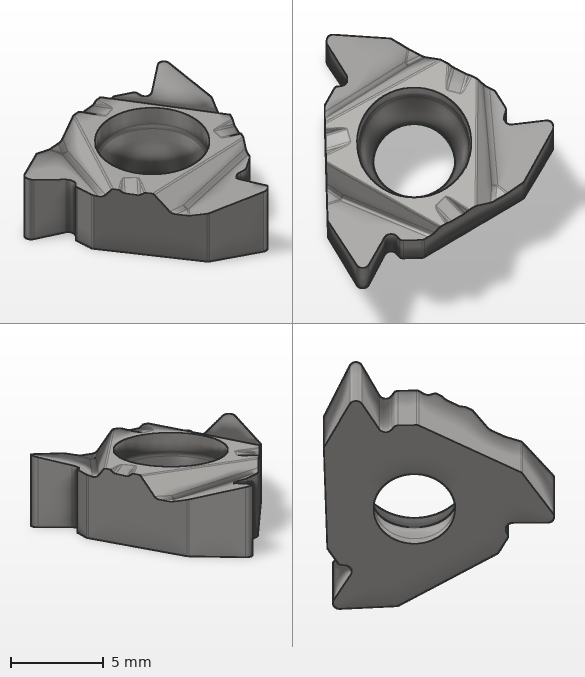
import cadquery as cq
import math

TOOTH_COUNT = 3
THICKNESS = 4.1
OVERSIZE = 13.12
TOUCHING = 0.001

INSCRIBED_RADIUS = 4.76
SIDE_TOP_Y = 2.36
SIDE_BOTTOM_Y = -4.0
TOOTH_AXIS_X = -2.95
FLANK_HALF_ANGLE = 28.5
TIP_RADIUS = 0.38
NOTCH_END_X = -0.87
NOTCH_WALL_ANGLE = 52.0
NOTCH_RADIUS = 0.41
CORNER_RADIUS = 0.26

GROOVE_ANGLE = -32.0
GROOVE_EDGE_Y = -0.98
WALL_ANGLE = 54.0
LAND_EDGE_RADIUS = 0.13
GROOVE_RADIUS = 0.31
FLOOR_Z = 2.91
FLOOR_SLOPE = 0.09
RAKE_START_Y = -2.97
RAKE_ANGLE = 15.5

POCKET_END = (-3.52, 0.51)
POCKET_HEADING = 193.3
POCKET_RAMP_ANGLE = 8.8
POCKET_FLOOR_WIDTH = 0.85
POCKET_WALL_ANGLE = 37.0
POCKET_RADIUS = 0.25
POCKET_RIM_RADIUS = 0.16
POCKET_RIM_MIDDLE = 0.79
POCKET_TOOL_HEIGHT = 0.65
POCKET_TOOL_LENGTH = 2.1

HOLE_RADIUS = 4.4 / 2
RIM_RADIUS = 3.08
RECESS_RADIUS = 3.0
RECESS_DEPTH = 1.01
SEAT_RADIUS = 2.93
SEAT_DEPTH = 1.26
SEAT_ARC_RADIUS = 4.03


def sin(degrees):
    return math.sin(math.radians(degrees))


def cos(degrees):
    return math.cos(math.radians(degrees))


def tan(degrees):
    return math.tan(math.radians(degrees))


def turned(point, turn):
    """Turn a plan point about the bore axis by whole tooth steps."""
    angle = turn * 360 / TOOTH_COUNT
    x, y = point
    return (x * cos(angle) - y * sin(angle), x * sin(angle) + y * cos(angle))


def outline_corners():
    """Sharp plan corners of one third of the outline, each with its radius."""
    flat_end = turned((-INSCRIBED_RADIUS, SIDE_TOP_Y), 1)
    tip_y = SIDE_BOTTOM_Y - (TOOTH_AXIS_X + INSCRIBED_RADIUS) / tan(FLANK_HALF_ANGLE)
    notch_end = (NOTCH_END_X, flat_end[1])
    flank_slope = 1 / tan(FLANK_HALF_ANGLE)
    wall_slope = -tan(NOTCH_WALL_ANGLE)
    notch_x = (notch_end[1] - tip_y + flank_slope * TOOTH_AXIS_X - wall_slope * NOTCH_END_X) / (
        flank_slope - wall_slope
    )
    notch_y = tip_y + flank_slope * (notch_x - TOOTH_AXIS_X)
    return [
        ((-INSCRIBED_RADIUS, SIDE_BOTTOM_Y), CORNER_RADIUS),
        ((TOOTH_AXIS_X, tip_y), TIP_RADIUS),
        ((notch_x, notch_y), NOTCH_RADIUS),
        (notch_end, CORNER_RADIUS),
        (flat_end, CORNER_RADIUS),
    ]


def make_blank():
    corners = []
    for turn in range(TOOTH_COUNT):
        for point, radius in outline_corners():
            corners.append((turned(point, turn), radius))
    blank = cq.Workplane("XY").polyline([point for point, _ in corners]).close().extrude(THICKNESS)
    for (x, y), radius in corners:
        corner_edge = cq.selectors.NearestToPointSelector((x, y, THICKNESS / 2))
        blank = blank.edges("|Z").edges(corner_edge).fillet(radius)
    return blank


def space_beyond_wall():
    """Space outside the groove wall, with the rounded land edge on its top."""
    edge_plane = cq.Plane(
        origin=(-INSCRIBED_RADIUS, GROOVE_EDGE_Y, THICKNESS),
        xDir=(sin(GROOVE_ANGLE), -cos(GROOVE_ANGLE), 0),
        normal=(-cos(GROOVE_ANGLE), -sin(GROOVE_ANGLE), 0),
    )
    tangent = LAND_EDGE_RADIUS * tan(WALL_ANGLE / 2)
    depth = OVERSIZE / 2
    return (
        cq.Workplane(edge_plane)
        .moveTo(-tangent, OVERSIZE)
        .lineTo(-tangent, 0)
        .radiusArc((tangent * cos(WALL_ANGLE), -tangent * sin(WALL_ANGLE)), LAND_EDGE_RADIUS)
        .lineTo(depth / tan(WALL_ANGLE), -depth)
        .lineTo(2 * OVERSIZE, -depth)
        .lineTo(2 * OVERSIZE, OVERSIZE)
        .close()
        .extrude(2 * OVERSIZE, both=True)
    )


def space_above_floor():
    """Space above the groove floor, which falls gently from the -X side inward."""
    fall = FLOOR_SLOPE * OVERSIZE
    return (
        cq.Workplane("XZ", origin=(-INSCRIBED_RADIUS, 0, FLOOR_Z))
        .polyline([(-OVERSIZE, fall), (OVERSIZE, -fall), (OVERSIZE, OVERSIZE), (-OVERSIZE, OVERSIZE)])
        .close()
        .extrude(OVERSIZE, both=True)
    )


def space_above_rake():
    """Space above the rake face, which climbs toward -Y."""
    rise = OVERSIZE * tan(RAKE_ANGLE)
    return (
        cq.Workplane("YZ", origin=(0, RAKE_START_Y, FLOOR_Z))
        .polyline([(-OVERSIZE, rise), (OVERSIZE, -rise), (OVERSIZE, OVERSIZE), (-OVERSIZE, OVERSIZE)])
        .close()
        .extrude(OVERSIZE, both=True)
    )


def groove_tool():
    tool = space_beyond_wall().intersect(space_above_floor()).intersect(space_above_rake())
    floor_end = (-INSCRIBED_RADIUS, RAKE_START_Y, FLOOR_Z)
    corner = tool.vertices(cq.selectors.NearestToPointSelector(floor_end)).val()
    valley_edges = [edge for edge in tool.edges().vals() if edge.distance(corner) < TOUCHING]
    return tool.newObject(valley_edges).fillet(GROOVE_RADIUS)


def pocket_tool():
    ramp_plane = cq.Plane(
        origin=(*POCKET_END, THICKNESS),
        xDir=(-sin(POCKET_HEADING), cos(POCKET_HEADING), 0),
        normal=(
            cos(POCKET_HEADING) * cos(POCKET_RAMP_ANGLE),
            sin(POCKET_HEADING) * cos(POCKET_RAMP_ANGLE),
            -sin(POCKET_RAMP_ANGLE),
        ),
    )
    half_floor = POCKET_FLOOR_WIDTH / 2
    half_top = half_floor + POCKET_TOOL_HEIGHT / tan(POCKET_WALL_ANGLE)
    tool = (
        cq.Workplane(ramp_plane)
        .polyline(
            [
                (-half_floor, 0),
                (half_floor, 0),
                (half_top, POCKET_TOOL_HEIGHT),
                (-half_top, POCKET_TOOL_HEIGHT),
            ]
        )
        .close()
        .extrude(POCKET_TOOL_LENGTH)
    )
    floor_middle = ramp_plane.toWorldCoords((0, 0, POCKET_TOOL_LENGTH / 2))
    floor_face = tool.faces(cq.selectors.NearestToPointSelector(floor_middle))
    ramp_edges = floor_face.edges(cq.selectors.ParallelDirSelector(ramp_plane.zDir))
    return tool.newObject(ramp_edges.vals()).fillet(POCKET_RADIUS)


def round_pocket_rim(body, turn):
    """Round the two edges where a pocket's flaring walls meet the land."""
    flare = tan(POCKET_RAMP_ANGLE) / tan(POCKET_WALL_ANGLE)
    half_width = POCKET_FLOOR_WIDTH / 2 + POCKET_RIM_MIDDLE * flare
    rim_edges = []
    for across in (-half_width, half_width):
        x = POCKET_END[0] + POCKET_RIM_MIDDLE * cos(POCKET_HEADING) - across * sin(POCKET_HEADING)
        y = POCKET_END[1] + POCKET_RIM_MIDDLE * sin(POCKET_HEADING) + across * cos(POCKET_HEADING)
        edge_middle = cq.selectors.NearestToPointSelector((*turned((x, y), turn), THICKNESS))
        rim_edges.append(body.faces(">Z").edges("%LINE").edges(edge_middle).val())
    return body.newObject(rim_edges).fillet(POCKET_RIM_RADIUS)


def bore_tool():
    """Tapered recess, a short blend, then a curved seat running smoothly into the hole."""
    seat_angle = math.degrees(math.acos(1 - (SEAT_RADIUS - HOLE_RADIUS) / SEAT_ARC_RADIUS))
    seat_end_z = THICKNESS - SEAT_DEPTH - SEAT_ARC_RADIUS * sin(seat_angle)
    middle = (
        HOLE_RADIUS + SEAT_ARC_RADIUS * (1 - cos(seat_angle / 2)),
        seat_end_z + SEAT_ARC_RADIUS * sin(seat_angle / 2),
    )
    return (
        cq.Workplane("XZ")
        .moveTo(0, 0)
        .lineTo(0, THICKNESS)
        .lineTo(RIM_RADIUS, THICKNESS)
        .lineTo(RECESS_RADIUS, THICKNESS - RECESS_DEPTH)
        .tangentArcPoint((SEAT_RADIUS, THICKNESS - SEAT_DEPTH), relative=False)
        .threePointArc(middle, (HOLE_RADIUS, seat_end_z))
        .lineTo(HOLE_RADIUS, 0)
        .close()
        .revolve(360, (0, 0, 0), (0, 1, 0))
    )


result = make_blank()
groove = groove_tool()
pocket = pocket_tool()
for turn in range(TOOTH_COUNT):
    angle = turn * 360 / TOOTH_COUNT
    result = result.cut(groove.rotate((0, 0, 0), (0, 0, 1), angle))
    result = result.cut(pocket.rotate((0, 0, 0), (0, 0, 1), angle))
    result = round_pocket_rim(result, turn)
result = result.cut(bore_tool())